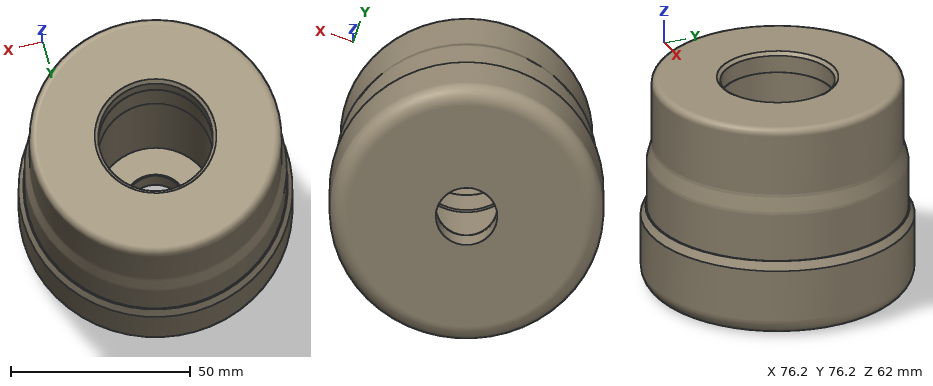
import cadquery as cq

total_height = 62.0
cap_radius = 38.1

cap_height = 22.6
cap_slope_height = 2.45
cap_lip_radius = 36.8
cap_bottom_round = 4.9
floor_thickness = 7.6
floor_hole_radius = 8.5
floor_hole_chamfer = 0.3

sleeve_radius = 36.4
neck_radius = 35.05
neck_taper_bottom = 37.0
neck_taper_top = 41.8
taper_blend = 3.3
edge_margin = 0.8
sleeve_top_round = 2.0

bore_radius = 15.9
bore_chamfer = 1.0
relief_radius = 16.0
relief_depth = 6.1
lower_bore_radius = 16.7
lower_bore_depth = 17.15


def make_cap():
    """Round cup with a sloped rim, a rounded bottom edge and a chamfered floor hole."""
    rim_bottom = cap_height - cap_slope_height
    blank = (
        cq.Workplane("XZ")
        .polyline([
            (0, 0),
            (cap_radius, 0),
            (cap_radius, rim_bottom),
            (cap_lip_radius, cap_height),
            (0, cap_height),
        ])
        .close()
        .revolve(360, (0, 0), (0, 1))
        .faces("<Z").edges().fillet(cap_bottom_round)
    )
    recess = (
        cq.Workplane("XY")
        .workplane(offset=floor_thickness)
        .circle(sleeve_radius)
        .extrude(cap_height - floor_thickness)
    )
    floor_hole = cq.Workplane("XY").circle(floor_hole_radius).extrude(floor_thickness)
    cup = blank.cut(recess).cut(floor_hole)
    floor_face = cq.selectors.NearestToPointSelector((0, 0, floor_thickness))
    hole_rim = cq.selectors.RadiusNthSelector(0)
    return cup.faces(floor_face).edges(hole_rim).chamfer(floor_hole_chamfer)


def make_sleeve_outside():
    """Solid sleeve blank with a blended taper up to its narrower neck."""
    blank = (
        cq.Workplane("XZ")
        .polyline([
            (0, floor_thickness),
            (sleeve_radius, floor_thickness),
            (sleeve_radius, neck_taper_bottom),
            (neck_radius, neck_taper_top),
            (neck_radius, total_height),
            (0, total_height),
        ])
        .close()
        .revolve(360, (0, 0), (0, 1))
    )
    taper_ends = cq.selectors.BoxSelector(
        (-cap_radius, -cap_radius, neck_taper_bottom - edge_margin),
        (cap_radius, cap_radius, neck_taper_top + edge_margin),
    )
    taper_edges = blank.edges("%CIRCLE").edges(taper_ends)
    return taper_edges.fillet(taper_blend).faces(">Z").edges().fillet(sleeve_top_round)


def make_bore():
    """Cutter for the bore, chamfered at the top and wider in two steps below."""
    relief_top = total_height - relief_depth
    lower_bore_top = total_height - lower_bore_depth
    return (
        cq.Workplane("XZ")
        .polyline([
            (0, floor_thickness),
            (lower_bore_radius, floor_thickness),
            (lower_bore_radius, lower_bore_top),
            (relief_radius, lower_bore_top),
            (relief_radius, relief_top),
            (bore_radius, relief_top),
            (bore_radius, total_height - bore_chamfer),
            (bore_radius + bore_chamfer, total_height),
            (0, total_height),
        ])
        .close()
        .revolve(360, (0, 0), (0, 1))
    )


cap = make_cap()
sleeve = make_sleeve_outside().cut(make_bore())

result = cq.Compound.makeCompound([cap.val(), sleeve.val()])